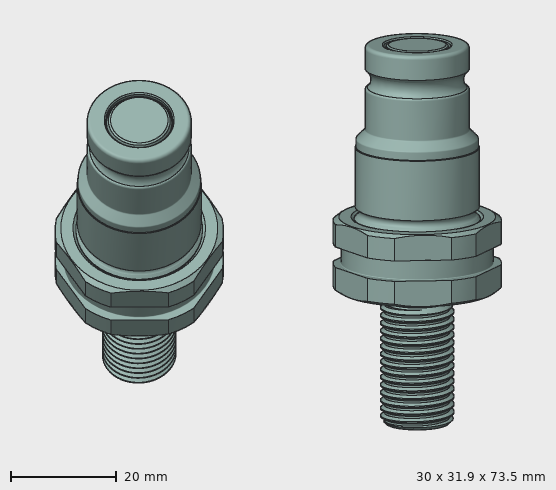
import cadquery as cq
import math

TOTAL_HEIGHT = 73.5
STUD_NECK_BOTTOM = 23.7
HEX_BOTTOM = 26.0
LOWER_HEX_TOP = 31.1
UPPER_HEX_BOTTOM = 35.05
HEX_TOP = 40.05
RELIEF_CENTER = 41.1
BARREL_TOP = 53.7
SHOULDER_BOTTOM = 55.3
LOCK_GROOVE_BOTTOM = 65.2
LOCK_GROOVE_CENTER = 66.9
RIM_BOTTOM = 68.9

HEX_ACROSS_FLATS = 30.0
HEX_CORNER_DIAMETER = 31.9
HEX_FACE_DIAMETER = 29.7
HEX_CHAMFER_ANGLE = 30.0
WAIST_DIAMETER = 28.8
WAIST_FILLET = 0.15
SOCKET_DIAMETER = 23.95
SOCKET_MOUTH_DIAMETER = 25.1

STUD_NECK_DIAMETER = 11.7
STUD_NECK_FILLET = 1.2
STUD_END_DIAMETER = 12.0
THREAD_DIAMETER = 14.0
THREAD_CORE_DIAMETER = 12.35
THREAD_PITCH = 1.5
THREAD_ROOT_WIDTH = 1.1
THREAD_CREST_WIDTH = 0.2
THREAD_CREST_HEIGHT = 21.0
THREAD_ROOT_OVERLAP = 0.15

BARREL_DIAMETER = 23.5
RELIEF_FLOOR_DIAMETER = 22.0
RELIEF_END_DIAMETER = 22.9
RELIEF_RADIUS = 0.95
SHOULDER_DIAMETER = 23.2
SHOULDER_EDGE_SETBACK = 0.15
TIP_DIAMETER = 19.8
TIP_FILLET = 0.7
RIM_EDGE_BREAK = 0.15
RIM_CONE_DIAMETER = 18.5
LOCK_GROOVE_DIAMETER = 17.65
LOCK_GROOVE_RADIUS = 2.05
LOCK_EDGE_FILLET = 0.45
BORE_DIAMETER = 12.35
BORE_RECESS_DIAMETER = 12.7
BORE_MOUTH_DIAMETER = 13.2

POPPET_FACE_DIAMETER = 10.9
POPPET_RIM_DIAMETER = 11.7
POPPET_RIM_DROP = 0.2
POPPET_CONE_HEIGHT = 0.7
POPPET_BOTTOM = SHOULDER_BOTTOM
POPPET_CONE_BOTTOM = TOTAL_HEIGHT - POPPET_RIM_DROP - POPPET_CONE_HEIGHT


def revolve_profile(profile):
    """Turn a closed (radius, height) profile about the Z axis."""
    return profile.close().revolve(360, (0, 0, 0), (0, 1, 0))


def make_hex_block():
    """Hexagon with rounded corners, chamfered at both ends, with a turned waist."""
    corner_radius = HEX_CORNER_DIAMETER / 2
    face_radius = HEX_FACE_DIAMETER / 2
    chamfer_drop = (corner_radius - face_radius) * math.tan(math.radians(HEX_CHAMFER_ANGLE))
    envelope = revolve_profile(
        cq.Workplane("XZ")
        .moveTo(0, HEX_BOTTOM)
        .lineTo(face_radius, HEX_BOTTOM)
        .lineTo(corner_radius, HEX_BOTTOM + chamfer_drop)
        .lineTo(corner_radius, HEX_TOP - chamfer_drop)
        .lineTo(face_radius, HEX_TOP)
        .lineTo(0, HEX_TOP)
    )
    corner_to_corner = HEX_ACROSS_FLATS / math.cos(math.radians(30))
    prism = (
        cq.Workplane("XY")
        .workplane(offset=HEX_BOTTOM)
        .transformed(rotate=(0, 0, 90))
        .polygon(6, corner_to_corner)
        .extrude(HEX_TOP - HEX_BOTTOM)
    )
    waist_radius = WAIST_DIAMETER / 2
    waist_cut = revolve_profile(
        cq.Workplane("XZ")
        .moveTo(corner_to_corner / 2, LOWER_HEX_TOP)
        .lineTo(waist_radius + WAIST_FILLET, LOWER_HEX_TOP)
        .radiusArc((waist_radius, LOWER_HEX_TOP + WAIST_FILLET), WAIST_FILLET)
        .lineTo(waist_radius, UPPER_HEX_BOTTOM - WAIST_FILLET)
        .radiusArc((waist_radius + WAIST_FILLET, UPPER_HEX_BOTTOM), WAIST_FILLET)
        .lineTo(corner_to_corner / 2, UPPER_HEX_BOTTOM)
    )
    return prism.intersect(envelope).cut(waist_cut)


def make_thread_ridge():
    """Right-hand helical ridge, built turn by turn and longer than the thread at both ends."""
    crest_radius = THREAD_DIAMETER / 2
    core_radius = THREAD_CORE_DIAMETER / 2
    root_radius = core_radius - THREAD_ROOT_OVERLAP
    flank_slope = (THREAD_ROOT_WIDTH - THREAD_CREST_WIDTH) / 2 / (crest_radius - core_radius)
    half_root = THREAD_ROOT_WIDTH / 2 + flank_slope * THREAD_ROOT_OVERLAP
    half_crest = THREAD_CREST_WIDTH / 2

    turns_below = math.ceil((THREAD_CREST_HEIGHT + half_root) / THREAD_PITCH)
    turns_above = math.ceil((STUD_NECK_BOTTOM - THREAD_CREST_HEIGHT) / THREAD_PITCH)
    turns = turns_below + turns_above
    start_height = THREAD_CREST_HEIGHT - turns_below * THREAD_PITCH
    ridge_section = [
        (root_radius, start_height - half_root),
        (crest_radius, start_height - half_crest),
        (crest_radius, start_height + half_crest),
        (root_radius, start_height + half_root),
    ]
    edges = [
        cq.Wire.makeHelix(THREAD_PITCH, THREAD_PITCH, radius).translate(cq.Vector(0, 0, height))
        for radius, height in ridge_section
    ]
    faces = []
    for index, edge in enumerate(edges):
        one_turn = cq.Face.makeRuledSurface(edge, edges[(index + 1) % len(edges)])
        for turn in range(turns):
            faces.append(one_turn.translate(cq.Vector(0, 0, turn * THREAD_PITCH)))
    for rise in (0, turns * THREAD_PITCH):
        corners = [cq.Vector(radius, 0, height + rise) for radius, height in ridge_section]
        faces.append(cq.Face.makeFromWires(cq.Wire.makePolygon(corners, close=True)))
    return cq.Workplane(cq.Solid.makeSolid(cq.Shell.makeShell(faces)))


def make_stud():
    """Threaded rod trimmed to a chamfered end and to a neck with a fillet under the hexagon."""
    neck_radius = STUD_NECK_DIAMETER / 2
    end_radius = STUD_END_DIAMETER / 2
    crest_radius = THREAD_DIAMETER / 2
    core = cq.Workplane("XY").circle(THREAD_CORE_DIAMETER / 2).extrude(HEX_BOTTOM)
    outline = revolve_profile(
        cq.Workplane("XZ")
        .moveTo(0, 0)
        .lineTo(end_radius, 0)
        .lineTo(crest_radius, crest_radius - end_radius)
        .lineTo(crest_radius, STUD_NECK_BOTTOM - (crest_radius - neck_radius))
        .lineTo(neck_radius, STUD_NECK_BOTTOM)
        .lineTo(neck_radius, HEX_BOTTOM - STUD_NECK_FILLET)
        .radiusArc((neck_radius + STUD_NECK_FILLET, HEX_BOTTOM), STUD_NECK_FILLET)
        .lineTo(0, HEX_BOTTOM)
    )
    return core.union(make_thread_ridge()).intersect(outline)


def make_base():
    socket_radius = SOCKET_DIAMETER / 2
    mouth_radius = SOCKET_MOUTH_DIAMETER / 2
    socket = revolve_profile(
        cq.Workplane("XZ")
        .moveTo(0, UPPER_HEX_BOTTOM)
        .lineTo(socket_radius, UPPER_HEX_BOTTOM)
        .lineTo(socket_radius, HEX_TOP - (mouth_radius - socket_radius))
        .lineTo(mouth_radius, HEX_TOP)
        .lineTo(0, HEX_TOP)
    )
    return make_hex_block().cut(socket).union(make_stud())


def make_shell():
    socket_radius = SOCKET_DIAMETER / 2
    barrel_radius = BARREL_DIAMETER / 2
    shoulder_radius = SHOULDER_DIAMETER / 2
    tip_radius = TIP_DIAMETER / 2

    relief_floor_radius = RELIEF_FLOOR_DIAMETER / 2
    relief_end_radius = RELIEF_END_DIAMETER / 2
    relief_axis_radius = relief_floor_radius + RELIEF_RADIUS
    relief_end_drop = math.sqrt(RELIEF_RADIUS**2 - (relief_axis_radius - relief_end_radius) ** 2)
    relief_top_rise = math.sqrt(RELIEF_RADIUS**2 - (relief_axis_radius - barrel_radius) ** 2)
    relief_end_height = RELIEF_CENTER - relief_end_drop
    relief_floor = (relief_floor_radius, RELIEF_CENTER)
    relief_top = (barrel_radius, RELIEF_CENTER + relief_top_rise)

    shoulder_top = SHOULDER_BOTTOM + shoulder_radius - tip_radius
    setback = SHOULDER_EDGE_SETBACK
    cone_setback = setback * math.cos(math.radians(45))
    corner_radius = setback / math.tan(math.radians(45 / 2))

    groove_floor_radius = LOCK_GROOVE_DIAMETER / 2
    groove_axis_radius = groove_floor_radius + LOCK_GROOVE_RADIUS
    groove_floor = (groove_floor_radius, LOCK_GROOVE_CENTER)
    groove_start = (tip_radius - LOCK_EDGE_FILLET, LOCK_GROOVE_BOTTOM)
    cone_radius = RIM_CONE_DIAMETER / 2
    groove_end_rise = math.sqrt(LOCK_GROOVE_RADIUS**2 - (groove_axis_radius - cone_radius) ** 2)
    groove_end = (cone_radius, LOCK_GROOVE_CENTER + groove_end_rise)

    body = revolve_profile(
        cq.Workplane("XZ")
        .moveTo(0, UPPER_HEX_BOTTOM)
        .lineTo(socket_radius, UPPER_HEX_BOTTOM)
        .lineTo(socket_radius, relief_end_height - (socket_radius - relief_end_radius))
        .lineTo(relief_end_radius, relief_end_height)
        .threePointArc(relief_floor, relief_top)
        .lineTo(barrel_radius, BARREL_TOP - (barrel_radius - shoulder_radius))
        .lineTo(shoulder_radius, BARREL_TOP)
        .lineTo(shoulder_radius, SHOULDER_BOTTOM - setback)
        .radiusArc((shoulder_radius - cone_setback, SHOULDER_BOTTOM + cone_setback), -corner_radius)
        .lineTo(tip_radius + cone_setback, shoulder_top - cone_setback)
        .radiusArc((tip_radius, shoulder_top + setback), corner_radius)
        .lineTo(tip_radius, LOCK_GROOVE_BOTTOM - LOCK_EDGE_FILLET)
        .radiusArc(groove_start, -LOCK_EDGE_FILLET)
        .threePointArc(groove_floor, groove_end)
        .lineTo(tip_radius - RIM_EDGE_BREAK, RIM_BOTTOM - RIM_EDGE_BREAK)
        .lineTo(tip_radius, RIM_BOTTOM)
        .lineTo(tip_radius, TOTAL_HEIGHT - TIP_FILLET)
        .radiusArc((tip_radius - TIP_FILLET, TOTAL_HEIGHT), -TIP_FILLET)
        .lineTo(0, TOTAL_HEIGHT)
    )
    bore_radius = BORE_DIAMETER / 2
    recess_radius = BORE_RECESS_DIAMETER / 2
    mouth_radius = BORE_MOUTH_DIAMETER / 2
    bore = revolve_profile(
        cq.Workplane("XZ")
        .moveTo(0, POPPET_BOTTOM)
        .lineTo(bore_radius, POPPET_BOTTOM)
        .lineTo(bore_radius, POPPET_CONE_BOTTOM)
        .lineTo(recess_radius, POPPET_CONE_BOTTOM)
        .lineTo(recess_radius, TOTAL_HEIGHT - (mouth_radius - recess_radius))
        .lineTo(mouth_radius, TOTAL_HEIGHT)
        .lineTo(0, TOTAL_HEIGHT)
    )
    return body.cut(bore)


def make_poppet():
    """Plug flush with the tip, with a chamfered face and a conical nose."""
    return revolve_profile(
        cq.Workplane("XZ")
        .moveTo(0, POPPET_BOTTOM)
        .lineTo(BORE_DIAMETER / 2, POPPET_BOTTOM)
        .lineTo(BORE_DIAMETER / 2, POPPET_CONE_BOTTOM)
        .lineTo(POPPET_RIM_DIAMETER / 2, TOTAL_HEIGHT - POPPET_RIM_DROP)
        .lineTo(POPPET_FACE_DIAMETER / 2, TOTAL_HEIGHT)
        .lineTo(0, TOTAL_HEIGHT)
    )


base = make_base()
shell = make_shell()
poppet = make_poppet()

result = cq.Compound.makeCompound([base.solids().val(), shell.solids().val(), poppet.val()])